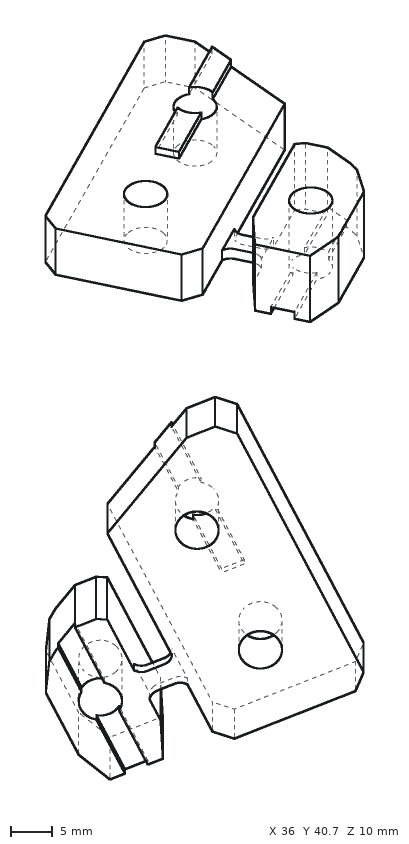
import cadquery as cq
import math

hole_diameter = 5.2

body_width = 20.0
body_length = 40.7
body_height = 7.0
body_chamfer = 2.0
slope_start_x = 5.78
slope_angle = math.radians(30)
body_hole_x = body_width / 2
body_hole_low_y = 10.0
body_hole_high_y = 28.4

rib_width = 3.0
rib_height = 1.0
rib_start_y = 18.0

gap = 5.0
clamp_left = body_width + gap
clamp_width = 11.0
clamp_right = clamp_left + clamp_width
clamp_center_x = clamp_left + clamp_width / 2
clamp_bottom = 1.0
clamp_top = 22.15
clamp_height = 10.0
clamp_hole_y = 11.47
taper_width = 2.0
taper_left_y = 6.1
taper_right_y = 5.75
corner_width = 1.2
corner_drop = 0.6
shoulder_start_x = 29.0
shoulder_end_x = 32.55
flank_top_x = 33.8
flank_bottom_y = 15.25
shoulder_angle = math.radians(30)
flank_angle = math.radians(60)

groove_width = 3.0
groove_depth = 1.0

bridge_width = 3.0
bridge_height = 1.5
flare_length = 1.35
flare_rise = 0.75
flare_radius = (flare_length**2 + flare_rise**2) / (2 * flare_rise)
flare_sweep = math.asin(flare_length / flare_radius)


def make_body():
    slope_end_y = body_length - (body_width - slope_start_x) * math.tan(slope_angle)
    block = (
        cq.Workplane("XY")
        .polyline([
            (body_chamfer, 0),
            (body_width - body_chamfer, 0),
            (body_width, body_chamfer),
            (body_width, slope_end_y),
            (slope_start_x, body_length),
            (body_chamfer, body_length),
            (0, body_length - body_chamfer),
            (0, body_chamfer),
        ])
        .close()
    )
    return block.extrude(body_height)


def make_rib():
    """Rib running up to the sloped end of the body."""
    left = body_hole_x - rib_width / 2
    right = body_hole_x + rib_width / 2
    left_end_y = body_length - (left - slope_start_x) * math.tan(slope_angle)
    right_end_y = body_length - (right - slope_start_x) * math.tan(slope_angle)
    return (
        cq.Workplane("XY")
        .polyline([
            (left, rib_start_y),
            (right, rib_start_y),
            (right, right_end_y),
            (left, left_end_y),
        ])
        .close()
        .extrude(body_height + rib_height)
    )


def make_clamp():
    shoulder_drop = (shoulder_end_x - shoulder_start_x) * math.tan(shoulder_angle)
    flank_rise = (clamp_right - flank_top_x) * math.tan(flank_angle)
    block = (
        cq.Workplane("XY")
        .polyline([
            (clamp_left + taper_width, clamp_bottom),
            (clamp_right - taper_width, clamp_bottom),
            (clamp_right, taper_right_y),
            (clamp_right, flank_bottom_y),
            (flank_top_x, flank_bottom_y + flank_rise),
            (shoulder_end_x, clamp_top - shoulder_drop),
            (shoulder_start_x, clamp_top),
            (clamp_left + corner_width, clamp_top),
            (clamp_left, clamp_top - corner_drop),
            (clamp_left, taper_left_y),
        ])
        .close()
        .extrude(clamp_height)
    )
    groove = (
        cq.Workplane("XY")
        .center(clamp_center_x, (clamp_bottom + clamp_top) / 2)
        .rect(groove_width, clamp_top - clamp_bottom)
        .extrude(groove_depth)
    )
    return block.cut(groove)


def make_bridge():
    """Straight strip with an arc flare, tangent to the strip, at each corner."""
    bridge = (
        cq.Workplane("XY")
        .center((body_width + clamp_left) / 2, clamp_hole_y)
        .rect(gap, bridge_width)
        .extrude(bridge_height)
    )
    for wall_x, inward in ((body_width, 1), (clamp_left, -1)):
        for side in (1, -1):
            edge_y = clamp_hole_y + side * bridge_width / 2
            tangent_x = wall_x + inward * flare_length
            flare_middle = (
                tangent_x - inward * flare_radius * math.sin(flare_sweep / 2),
                edge_y + side * flare_radius * (1 - math.cos(flare_sweep / 2)),
            )
            flare = (
                cq.Workplane("XY")
                .moveTo(wall_x, edge_y)
                .lineTo(tangent_x, edge_y)
                .threePointArc(flare_middle, (wall_x, edge_y + side * flare_rise))
                .close()
            )
            bridge = bridge.union(flare.extrude(bridge_height))
    return bridge


holes = (
    cq.Workplane("XY")
    .pushPoints([
        (body_hole_x, body_hole_low_y),
        (body_hole_x, body_hole_high_y),
        (clamp_center_x, clamp_hole_y),
    ])
    .circle(hole_diameter / 2)
    .extrude(clamp_height)
)

result = make_body().union(make_rib()).union(make_clamp()).union(make_bridge()).cut(holes)